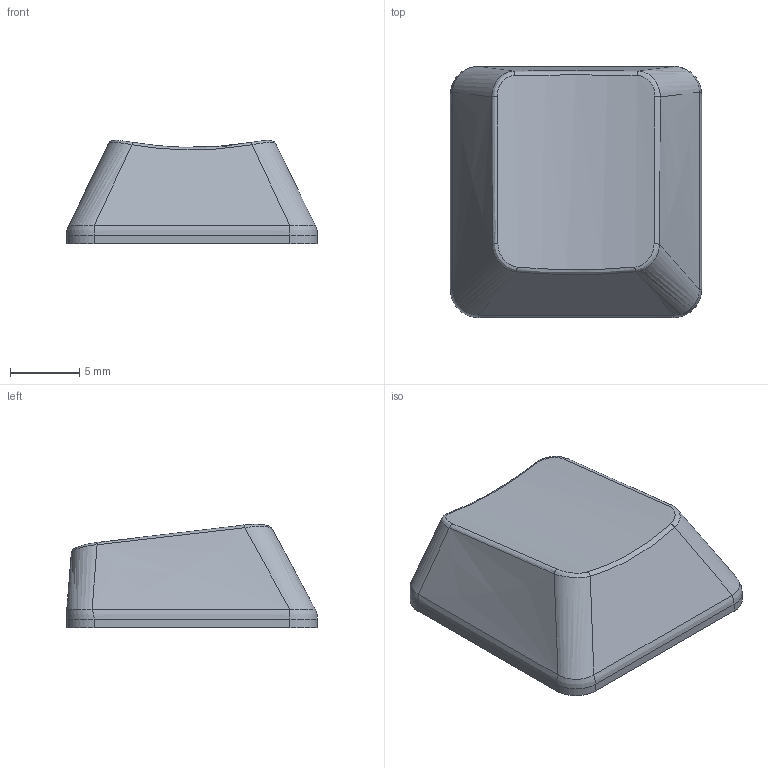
import cadquery as cq
import math

base_size = 18.16
base_half = base_size / 2
base_corner_radius = 2.0

belt_bottom = 0.6
belt_top = 1.33
belt_edge = 1.0

rim_tilt = 6.85
rim_height = 7.29
rim_half_width = 5.80
rim_front_y = -5.36
rim_back_y = 8.66
rim_corner_radius = 1.85

dish_radius = 24.0
dish_bottom = 6.28
dish_edge_radius = 0.35


def outline_wire(plane, half_width, front_y, back_y, corner_radius):
    """Rounded rectangle, symmetric about the YZ plane, as a closed wire."""
    sketch = cq.Sketch().rect(2 * half_width, back_y - front_y).vertices().fillet(corner_radius)
    center = cq.Location(cq.Vector(0, (front_y + back_y) / 2, 0))
    face = sketch.reset().faces().vals()[0]
    return face.outerWire().moved(cq.Location(plane) * center)


def level_plane(height):
    return cq.Plane(origin=(0, 0, height))


def tilted_plane(height):
    """Plane through (0, 0, height) that leans down towards +Y."""
    return cq.Plane(origin=(0, 0, height)).rotated((-rim_tilt, 0, 0))


def wall_inset(rim_inset, rim_z, height):
    """Horizontal inset of a sloping wall at a height, given its inset at the rim."""
    return rim_inset * (height - belt_edge) / (rim_z - belt_edge)


def belt_wire(height, share):
    """Outline at a height, set in from the foot by a share of the wall insets at the belt top."""
    slope = math.tan(math.radians(rim_tilt))
    side = wall_inset(base_half - rim_half_width, rim_height, belt_top)
    front = wall_inset(base_half + rim_front_y, rim_height - slope * rim_front_y, belt_top)
    back = wall_inset(base_half - rim_back_y, rim_height - slope * rim_back_y, belt_top)
    return outline_wire(
        level_plane(height),
        base_half - share * side,
        -base_half + share * front,
        base_half - share * back,
        base_corner_radius - share * side,
    )


def make_foot():
    block = cq.Workplane().rect(base_size, base_size).extrude(belt_bottom)
    return block.edges("|Z").fillet(base_corner_radius)


def make_belt():
    """Loft near a parabola that leaves the foot upright and runs into the slope of the walls."""
    middle_height = (belt_bottom + 2 * belt_edge + belt_top) / 4
    middle_share = 1 / 4
    sections = [
        belt_wire(belt_bottom, 0),
        belt_wire(middle_height, middle_share),
        belt_wire(belt_top, 1),
    ]
    return cq.Workplane(cq.Solid.makeLoft(sections))


def make_walls():
    """Ruled loft from the belt up to the tilted rim."""
    tilt_cosine = math.cos(math.radians(rim_tilt))
    rim_wire = outline_wire(
        tilted_plane(rim_height),
        rim_half_width,
        rim_front_y / tilt_cosine,
        rim_back_y / tilt_cosine,
        rim_corner_radius,
    )
    return cq.Workplane(cq.Solid.makeLoft([belt_wire(belt_top, 1), rim_wire], True))


def make_dish_cutter():
    """Cylinder whose underside forms the finger hollow."""
    plane = tilted_plane(dish_bottom)
    start = plane.origin + plane.zDir * dish_radius - plane.yDir * base_size
    return cq.Workplane(cq.Solid.makeCylinder(dish_radius, 2 * base_size, start, plane.yDir))


def round_dish_edge(body):
    dish_face = body.faces("%CYLINDER").faces(">Z")
    return dish_face.edges().fillet(dish_edge_radius)


body = make_foot().union(make_belt()).union(make_walls())
result = round_dish_edge(body.cut(make_dish_cutter()))